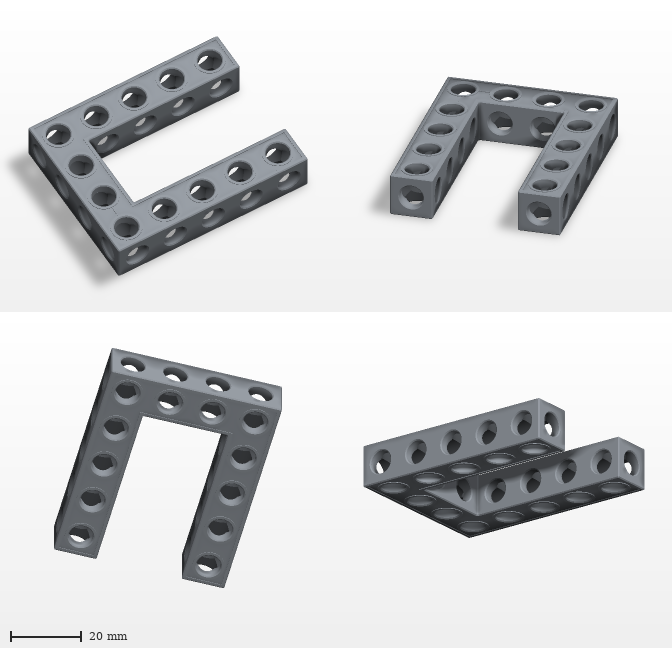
import cadquery as cq

pitch = 12.5
columns = 4
rows = 5
width = columns * pitch
length = rows * pitch
height = pitch
slot_width = width - 2 * pitch
slot_length = length - pitch

edge_chamfer = 0.3
bore_diameter = 7.0
mouth_diameter = 7.6
mouth_chamfer = (mouth_diameter - bore_diameter) / 2

rim_width = 1.1
ring_diameter = 9.2
recess_depth = 0.2

rib_width = 0.25


def u_prism(inset, thickness):
    """U-shaped plate, centred on the origin, with its outline moved inwards by inset."""
    plate = cq.Workplane("XY").box(width - 2 * inset, length - 2 * inset, thickness)
    slot = (
        cq.Workplane("XY")
        .box(slot_width + 2 * inset, slot_length + inset, thickness)
        .translate((0, (length - slot_length - inset) / 2, 0))
    )
    return plate.cut(slot)


def hole_cutter(span):
    """Bore along Z through material of the given span, with a 45-degree chamfered mouth at both ends."""
    half = span / 2
    bore_radius = bore_diameter / 2
    mouth_radius = mouth_diameter / 2
    return (
        cq.Workplane("XZ")
        .moveTo(0, -half)
        .lineTo(mouth_radius, -half)
        .lineTo(bore_radius, -half + mouth_chamfer)
        .lineTo(bore_radius, half - mouth_chamfer)
        .lineTo(mouth_radius, half)
        .lineTo(0, half)
        .close()
        .revolve(360, (0, 0, 0), (0, 1, 0))
    )


column_x = [(i - (columns - 1) / 2) * pitch for i in range(columns)]
row_y = [(j - (rows - 1) / 2) * pitch for j in range(rows)]
arm_x = (column_x[0], column_x[-1])
cells = [(x, y) for x in column_x for y in row_y if y == row_y[0] or x in arm_x]

body = u_prism(0, height).edges().chamfer(edge_chamfer)

rings = cq.Workplane("XY").pushPoints(cells).circle(ring_diameter / 2).extrude(recess_depth, both=True)
bottom_panel = u_prism(rim_width, recess_depth).cut(rings)

rib_x = (column_x[-2] + column_x[-1]) / 2
rib = cq.Workplane("XY").box(pitch, rib_width, recess_depth).translate((rib_x, row_y[0], 0))
top_panel = bottom_panel.cut(rib)

panel_z = (height - recess_depth) / 2
body = body.cut(top_panel.translate((0, 0, panel_z)))
body = body.cut(bottom_panel.translate((0, 0, -panel_z)))

for x, y in cells:
    body = body.cut(hole_cutter(pitch).translate((x, y, 0)))

for y in row_y:
    spans = [(0, width)] if y == row_y[0] else [(x, pitch) for x in arm_x]
    for x, span in spans:
        body = body.cut(hole_cutter(span).rotate((0, 0, 0), (0, 1, 0), 90).translate((x, y, 0)))

for x in column_x:
    y, span = (0, length) if x in arm_x else (row_y[0], pitch)
    body = body.cut(hole_cutter(span).rotate((0, 0, 0), (1, 0, 0), 90).translate((x, y, 0)))

result = body